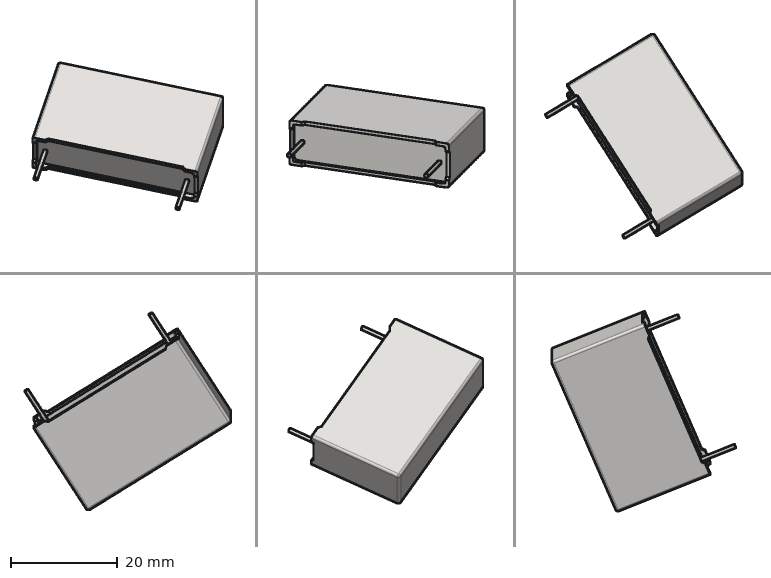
import cadquery as cq

case_width = 32.0
case_height = 9.0
case_length = 19.0
case_round = 0.5
wall = 0.7
recess_depth = 1.0
recess_round = 0.5

notch_depth = 0.48
foot_width = 2.5
foot_height = 1.55

lead_pitch = 27.5
lead_diameter = 0.8
lead_length = 6.0


def make_case():
    """Box with rounded long edges and a rounded closed end."""
    box = cq.Workplane("XY").box(case_width, case_length, case_height)
    box = box.translate((0, case_length / 2, 0))
    return box.edges("|Y or >Y").fillet(case_round)


def make_recess():
    """Rounded pocket sunk into the open end."""
    pocket = cq.Workplane("XY").box(case_width - 2 * wall, recess_depth, case_height - 2 * wall)
    return pocket.edges("|Y").fillet(recess_round).translate((0, recess_depth / 2, 0))


def make_notch(plane, opening, through):
    """Bar with 45 degree ends that lowers the rim between two feet."""
    half_opening = opening / 2
    half_floor = half_opening - notch_depth
    outline = [
        (-half_opening, 0),
        (-half_floor, notch_depth),
        (half_floor, notch_depth),
        (half_opening, 0),
    ]
    return cq.Workplane(plane).polyline(outline).close().extrude(through / 2, both=True)


def make_lead(x):
    """Round wire running from the recess floor out past the feet."""
    lead = cq.Workplane("XZ").center(x, 0).circle(lead_diameter / 2)
    return lead.extrude(lead_length + recess_depth).translate((0, recess_depth, 0))


notch_across_width = make_notch("XY", case_width - 2 * foot_width, case_height)
notch_across_height = make_notch("ZY", case_height - 2 * foot_height, case_width)

result = make_case().cut(make_recess()).cut(notch_across_width).cut(notch_across_height)
for side in (-1, 1):
    result = result.union(make_lead(side * lead_pitch / 2))